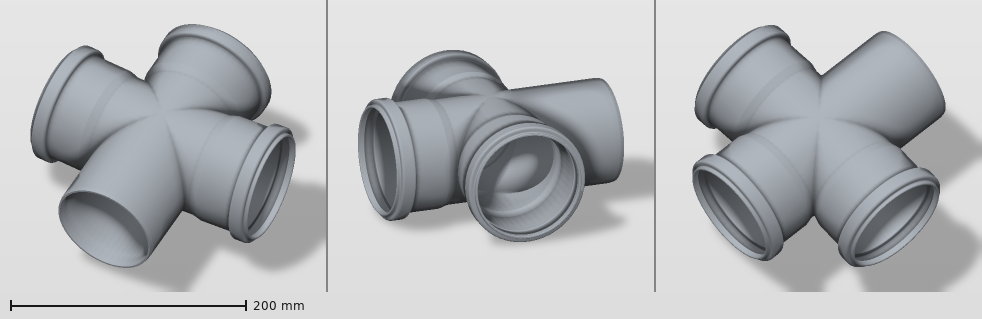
import cadquery as cq

BRANCH_TILT = 2.5
SOCKET_DIRECTIONS = (0, 90 - BRANCH_TILT, BRANCH_TILT - 90)

PIPE_OD = 90.2
PIPE_ID = 85.4
CROTCH_FILLET = 1.0

SPIGOT_LENGTH = 104.5
SPIGOT_CHAMFER_LENGTH = 3.6
SPIGOT_CHAMFER_DEPTH = 0.75

SOCKET_LENGTH = 103.0
CONE_START = 46.8
CONE_END = 54.8
SOCKET_OD = 94.7
SOCKET_ID = 90.5
RIM_OD = 95.0
RIM_ID = 90.8
RIM_CHAMFER = 0.5

BEAD_OD = 104.5
GROOVE_ID = 100.3
WALL = (BEAD_OD - GROOVE_ID) / 2
BEAD_START = 86.9
BEAD_END = 99.5
GROOVE_START = BEAD_START + WALL
GROOVE_END = BEAD_END - WALL
BEAD_ROUND = 2.0
BEAD_ROOT_FILLET = 1.0
GROOVE_ROUND = 0.8


def revolve_about_y(*points):
    """Solid of revolution from (radius, distance along Y) points."""
    return cq.Workplane("XY").polyline(points).close().revolve(360, (0, 0, 0), (0, 1, 0))


def cylinder_along_y(diameter, end):
    return revolve_about_y((0, 0), (diameter / 2, 0), (diameter / 2, end), (0, end))


def fillet_circles(body, radius, *circles):
    """Fillet the circular edges given as (diameter, distance along Y)."""
    tolerance = 0.01
    chosen = []
    for diameter, y in circles:
        for edge in body.edges("%CIRCLE").vals():
            same_size = abs(edge.radius() - diameter / 2) < tolerance
            same_place = abs(edge.arcCenter().y - y) < tolerance
            if same_size and same_place:
                chosen.append(edge)
    return body.newObject(chosen).fillet(radius)


def spigot():
    """Plain run pipe from the centre to the chamfered -Y end, without its bore."""
    radius = PIPE_OD / 2
    return revolve_about_y(
        (0, 0),
        (radius, 0),
        (radius, SPIGOT_CHAMFER_LENGTH - SPIGOT_LENGTH),
        (radius - SPIGOT_CHAMFER_DEPTH, -SPIGOT_LENGTH),
        (0, -SPIGOT_LENGTH),
    )


def socket_outside():
    """Cone, socket body, bead and rim along +Y, without the bore."""
    body = revolve_about_y(
        (0, CONE_START),
        (PIPE_OD / 2, CONE_START),
        (SOCKET_OD / 2, CONE_END),
        (SOCKET_OD / 2, BEAD_START),
        (BEAD_OD / 2, BEAD_START),
        (BEAD_OD / 2, BEAD_END),
        (RIM_OD / 2, BEAD_END),
        (RIM_OD / 2, SOCKET_LENGTH - RIM_CHAMFER),
        (RIM_OD / 2 - RIM_CHAMFER, SOCKET_LENGTH),
        (0, SOCKET_LENGTH),
    )
    body = fillet_circles(body, BEAD_ROUND, (BEAD_OD, BEAD_START), (BEAD_OD, BEAD_END))
    return fillet_circles(body, BEAD_ROOT_FILLET, (SOCKET_OD, BEAD_START), (RIM_OD, BEAD_END))


def socket_bore():
    """Space inside one socket and its pipe, along +Y from the centre."""
    bore = revolve_about_y(
        (0, 0),
        (PIPE_ID / 2, 0),
        (PIPE_ID / 2, CONE_START),
        (SOCKET_ID / 2, CONE_END),
        (SOCKET_ID / 2, GROOVE_START),
        (GROOVE_ID / 2, GROOVE_START),
        (GROOVE_ID / 2, GROOVE_END),
        (RIM_ID / 2, GROOVE_END),
        (RIM_ID / 2, SOCKET_LENGTH - RIM_CHAMFER),
        (RIM_ID / 2 + RIM_CHAMFER, SOCKET_LENGTH),
        (0, SOCKET_LENGTH),
    )
    return fillet_circles(
        bore,
        GROOVE_ROUND,
        (SOCKET_ID, GROOVE_START),
        (GROOVE_ID, GROOVE_START),
        (GROOVE_ID, GROOVE_END),
        (RIM_ID, GROOVE_END),
    )


def towards(body, direction):
    """Turn a body built along +Y to the given direction, in degrees about Z."""
    return body.rotate((0, 0, 0), (0, 0, 1), direction)


def pipe_cross():
    """The four plain pipes, with the crotches between them filleted."""
    cross = spigot()
    for direction in SOCKET_DIRECTIONS:
        cross = cross.union(towards(cylinder_along_y(PIPE_OD, CONE_END), direction))
    crotches = cross.edges("%ELLIPSE")
    return crotches.fillet(CROTCH_FILLET)


def fitting():
    body = pipe_cross()
    for direction in SOCKET_DIRECTIONS:
        body = body.union(towards(socket_outside(), direction))
    for direction in SOCKET_DIRECTIONS:
        body = body.cut(towards(socket_bore(), direction))
    return body.cut(cylinder_along_y(PIPE_ID, -SPIGOT_LENGTH))


result = fitting()